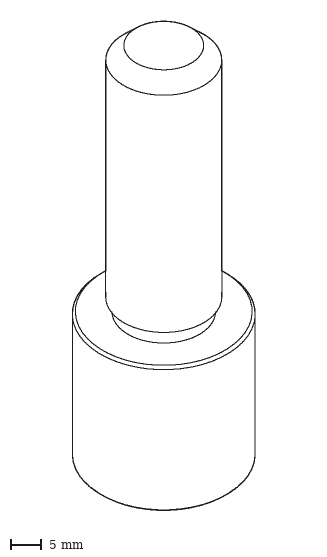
import cadquery as cq

total_length = 85.0
head_diameter = 30.0
head_length = 30.0
head_chamfer = 0.5

neck_diameter = 17.0
neck_length = 3.0

shank_diameter = 19.0
shank_chamfer = 3.0
shank_start = head_length + neck_length
shank_length = total_length - shank_start


def cylinder(diameter, length, base_height):
    """Solid cylinder on the Z axis, rising from base_height."""
    return cq.Workplane("XY").workplane(offset=base_height).circle(diameter / 2).extrude(length)


head = cylinder(head_diameter, head_length, 0).edges().chamfer(head_chamfer)

neck = cylinder(neck_diameter, neck_length, head_length)

shank = cylinder(shank_diameter, shank_length, shank_start).faces(">Z").edges().chamfer(shank_chamfer)

result = head.union(neck).union(shank)